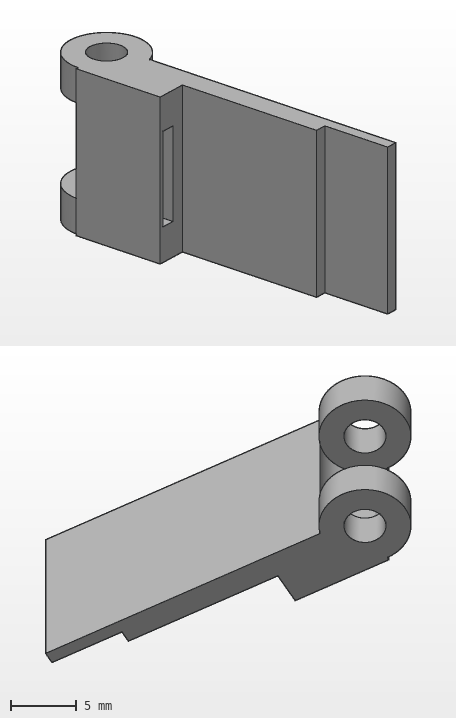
import cadquery as cq

total_length = 30.6
height = 14.0
knuckle_radius = 3.5
pin_radius = 1.6
knuckle_height = 3.0

leaf_top = 1.0
leaf_bottom = -1.0
tip_bottom = 0.0
block_bottom = -3.73
block_end = 8.1
tip_start = 21.05
tip_end = total_length - knuckle_radius

slot_top = -2.17
slot_bottom = -3.37

gap_height = height - 2 * knuckle_height


def make_leaf():
    """Stepped leaf with its thick block next to the hinge axis."""
    outline = [
        (0, leaf_top),
        (tip_end, leaf_top),
        (tip_end, tip_bottom),
        (tip_start, tip_bottom),
        (tip_start, leaf_bottom),
        (block_end, leaf_bottom),
        (block_end, block_bottom),
        (0, block_bottom),
    ]
    return cq.Workplane("XY").polyline(outline).close().extrude(height)


def make_barrel():
    """Full-height hinge barrel, later split into two knuckles."""
    return cq.Workplane("XY").circle(knuckle_radius).extrude(height)


def make_knuckle_gap():
    """Round clearance for the mating knuckle."""
    gap_plane = cq.Workplane("XY").workplane(offset=knuckle_height)
    return gap_plane.circle(knuckle_radius).extrude(gap_height)


def make_block_slot():
    """Slot running along X from the knuckle gap out of the end of the block."""
    return (
        cq.Workplane("XY")
        .box(block_end, slot_top - slot_bottom, gap_height, centered=False)
        .translate((0, slot_bottom, knuckle_height))
    )


pin_hole = cq.Workplane("XY").circle(pin_radius).extrude(height)

result = (
    make_leaf()
    .union(make_barrel())
    .cut(pin_hole)
    .cut(make_knuckle_gap())
    .cut(make_block_slot())
)